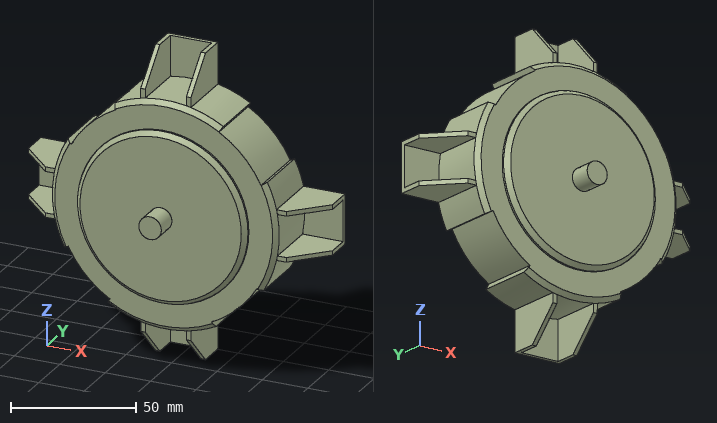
import cadquery as cq
import math

body_radius = 47.5
body_shift = 0.34
body_depth = 28.0
pad_radius = 50.0
pad_bevel = 2.0
pad_span = 57.0
pad_offset = 2.0

plate_radius = 37.5
plate_depth = 3.0
plate_bevel = 2.0
shaft_radius = 5.0
shaft_length = 10.0

bracket_reach = 67.0
bracket_width = 22.1
bracket_wall = 2.0
bracket_depth = body_depth - pad_bevel
bracket_slope = 14.0
bracket_root = 45.5


def disc(radius, depth):
    """Cylinder about the Y axis, running toward -Y from the mounting face."""
    return cq.Workplane("XZ").circle(radius).extrude(depth)


def turn(shape, angle):
    """Turn a shape clockwise about the Y axis, as seen from the shaft end."""
    return shape.rotate((0, 0, 0), (0, 1, 0), angle)


def make_pad():
    """Rim pad on the +X side, with its front edge bevelled; it reaches in to the axis."""
    far = 2 * pad_radius
    rise = far * math.tan(math.radians(pad_span / 2))
    corners = [(0, 0), (far, -rise), (far, rise)]
    sector = cq.Workplane("XZ").polyline(corners).close().extrude(body_depth)
    rim = disc(pad_radius, body_depth).faces("<Y").chamfer(pad_bevel)
    return turn(rim.intersect(sector), pad_offset)


def make_bracket():
    """U-shaped bracket on the +X side: a back plate between two sloped cheeks."""
    profile = [
        (bracket_root, 0),
        (bracket_reach, 0),
        (bracket_reach, bracket_slope - bracket_depth),
        (bracket_reach - bracket_slope, -bracket_depth),
        (bracket_root, -bracket_depth),
    ]
    solid = cq.Workplane("XY").polyline(profile).close().extrude(bracket_width / 2, both=True)
    channel = cq.Workplane("XY").box(
        2 * bracket_reach, bracket_depth, bracket_width - 2 * bracket_wall
    ).translate((bracket_reach, -bracket_wall - bracket_depth / 2, 0))
    return solid.cut(channel)


plate = disc(plate_radius, body_depth + plate_depth).faces("<Y").chamfer(plate_bevel)
shaft = disc(shaft_radius, body_depth + plate_depth + shaft_length)
body = disc(body_radius, body_depth).translate((body_shift, 0, body_shift))
result = body.union(plate).union(shaft)

pad = make_pad()
bracket = make_bracket()
for quarter in range(4):
    result = result.union(turn(pad, 90 * quarter)).union(turn(bracket, 90 * quarter))